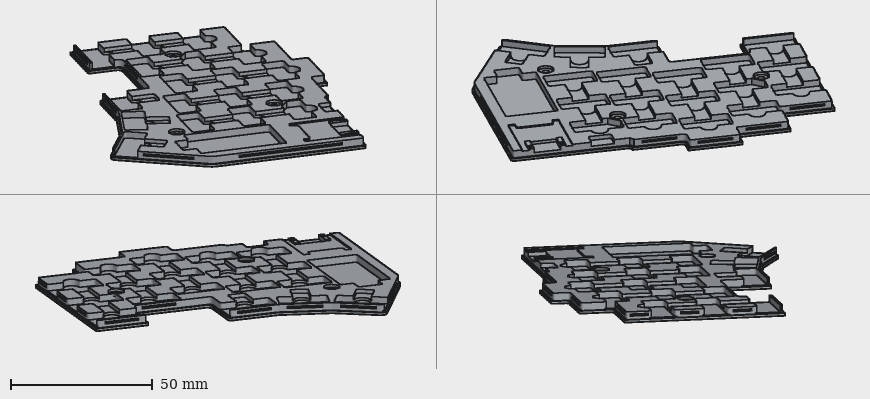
import cadquery as cq
import math

PITCH = 19.0
RIM = 0.7
TOTAL_HEIGHT = 3.7
FLANGE_HEIGHT = 1.0
WIDTH = 120.3
CELL = PITCH + RIM

ROWS = 3
COLUMN_BASE = (0.0, 12.2, 18.2, 12.9, 11.4)
COLUMN_TOP = [base + ROWS * PITCH + RIM for base in COLUMN_BASE]
RIGHT_TOP = 69.0
STEP_RUN = 0.8

POCKET_WIDTH = 17.9
POCKET_HEIGHT = 8.3
POCKET_DEPTH = 2.4
POCKET_RADIUS = 1.0
POCKET_TO_EDGE = 1.6
HUMP_RADIUS = 3.0
HUMP_FILLET = 0.7
BREAKOUT = 0.4
WALL_END_RADIUS = 0.7
SCREW_SIDE_SOCKETS = ((1, 1), (4, 2))
CENTER_TO_EDGE = POCKET_TO_EDGE + POCKET_HEIGHT / 2

CHANNEL_DEPTH = 1.5
CHANNEL_WIDTH = 6.0
THUMB_CHANNEL_WIDTH = 6.5
THUMB_CHANNEL_LENGTH = 8.3

THUMBS = (
    (58.0, COLUMN_BASE[0], 0.0),
    (77.5, -2.6, 15.0),
    (96.1, -10.3, 30.0),
)
TIP_THUMB = THUMBS[-1]

SCREWS = ((20.1, 31.4), (76.9, 49.6), (92.5, 7.9))
SCREW_DIAMETER = 2.4
HEAD_DIAMETER = 5.7
HEAD_DEPTH = 1.0
SCREW_RELIEF_X = 4.0
SCREW_RELIEF_Y = 3.1

BATTERY_LEFT, BATTERY_RIGHT = 96.4, 115.4
BATTERY_BOTTOM, BATTERY_TOP = 9.1, 41.0
BATTERY_TAB_LEFT, BATTERY_TAB_RIGHT = 101.3, 110.4
BATTERY_TAB_BOTTOM = 4.2
BATTERY_RADIUS = 0.7
BATTERY_DEPTH = 2.8

TRAY_CENTER = 107.1
TRAY_WIDTH = 18.3
TRAY_BOTTOM = 47.8
TRAY_LEG_WIDTH = 2.4
TRAY_LEG_LENGTH = 2.6
TRAY_LEG_RADIUS = 0.5
TRAY_DEPTH = 0.5
CONNECTOR_BOTTOM = 61.8
CONNECTOR_DEPTH = 1.6
PAD_WIDTH = 1.9
PEG_HOLE_Y = 66.3
PEG_HOLE_DIAMETER = 0.8
PEG_SINK_DIAMETER = 1.5
PEG_SINK_ANGLE = 90

NOTCH_CENTER = 87.0
NOTCH_WIDTH = 8.3
NOTCH_BOTTOM = 63.8
NOTCH_DEPTH = 1.6

RIDGE_Z = 2.5
RIDGE_HALF_HEIGHT = 0.4
RIDGE_REACH = 0.4
RIDGE_LENGTH = 12.5
TOP_RIDGE_COLUMNS = (0, 1, 2, 3)
BOTTOM_RIDGE_COLUMNS = (0, 1)
WALL_RIDGE_LENGTH = 6.5
RIGHT_RIDGE_LENGTH = 38.4
RIGHT_RIDGE_Y = 41.0
SLANT_RIDGE_LENGTH = 18.0
SLANT_RIDGE_START = 12.0


def block(x_min, x_max, y_min, y_max, depth):
    """Cutter box reaching down from the top face."""
    box = cq.Workplane("XY").box(x_max - x_min, y_max - y_min, depth, centered=False)
    return box.translate((x_min, y_min, TOTAL_HEIGHT - depth))


def near(x, y):
    return cq.selectors.NearestToPointSelector((x, y, TOTAL_HEIGHT - POCKET_DEPTH / 2))


def round_corner(solid, x, y, radius):
    """Round the vertical edge closest to (x, y)."""
    return solid.edges("|Z").edges(near(x, y)).fillet(radius)


def turned(center, angle, along, across):
    """Point in a socket's own axes, turned clockwise by angle about its centre."""
    a = math.radians(angle)
    x = center[0] + along * math.cos(a) + across * math.sin(a)
    y = center[1] - along * math.sin(a) + across * math.cos(a)
    return (x, y)


def column_center(column):
    return column * PITCH + CELL / 2


def socket_center(column, row):
    return (column_center(column), COLUMN_BASE[column] + row * PITCH + CENTER_TO_EDGE)


def socket(center, angle=0.0, open_left=False, open_right=False, screw_side=False):
    """Pocket with a half-round hump on its upper side."""
    half_w = POCKET_WIDTH / 2
    half_h = POCKET_HEIGHT / 2
    left = -half_w - (BREAKOUT if open_left else 0)
    right = half_w + (BREAKOUT if open_right else 0)
    cutter = block(left, right, -half_h, half_h, POCKET_DEPTH)
    if not open_left:
        cutter = cutter.edges("|Z and <X").fillet(POCKET_RADIUS)
    if not open_right:
        cutter = cutter.edges("|Z and >X").fillet(POCKET_RADIUS)
    if screw_side:
        relief = (
            cq.Workplane("XY", origin=(left, -half_h, 0))
            .polyline([(0, 0), (SCREW_RELIEF_X, 0), (0, SCREW_RELIEF_Y)])
            .close()
            .extrude(TOTAL_HEIGHT)
        )
        cutter = cutter.cut(relief)
    hump = (
        cq.Workplane("XY", origin=(0, half_h, TOTAL_HEIGHT - POCKET_DEPTH))
        .circle(HUMP_RADIUS)
        .extrude(POCKET_DEPTH)
    )
    cutter = cutter.union(hump)
    for side in (-HUMP_RADIUS, HUMP_RADIUS):
        cutter = round_corner(cutter, side, half_h, HUMP_FILLET)
    return cutter.rotate((0, 0, 0), (0, 0, 1), -angle).translate((center[0], center[1], 0))


def ridge(center, angle, length):
    """Triangular snap ridge; at angle 0 it lies along X and points toward -Y."""
    profile = [(0, RIDGE_HALF_HEIGHT), (0, -RIDGE_HALF_HEIGHT), (-RIDGE_REACH, 0)]
    bar = cq.Workplane("YZ").polyline(profile).close().extrude(length / 2, both=True)
    return bar.rotate((0, 0, 0), (0, 0, 1), -angle).translate((center[0], center[1], RIDGE_Z))


def bottom_edge_crossing(first, second):
    """Where the outer edges below two neighbouring thumb sockets meet."""
    x1, y1 = turned(first[:2], first[2], 0, -CENTER_TO_EDGE)
    x2, y2 = turned(second[:2], second[2], 0, -CENTER_TO_EDGE)
    slope1 = -math.tan(math.radians(first[2]))
    slope2 = -math.tan(math.radians(second[2]))
    x = (y2 - y1 + slope1 * x1 - slope2 * x2) / (slope1 - slope2)
    return (x, y1 + slope1 * (x - x1))


thumb_left = THUMBS[0][0] - CELL / 2
thumb_bottom = THUMBS[0][1] - CENTER_TO_EDGE
tip = turned(TIP_THUMB[:2], TIP_THUMB[2], CELL / 2, -CENTER_TO_EDGE)
slant_rise = (WIDTH - tip[0]) / math.tan(math.radians(TIP_THUMB[2]))
slant_top = (WIDTH, tip[1] + slant_rise)

CORNERS = [
    ((0, 0), 0, 1.0),
    ((CELL, 0), 0, 0),
    ((CELL, COLUMN_BASE[1]), 1.9, 1.9),
    ((thumb_left, COLUMN_BASE[1]), 1.9, 1.3),
    ((thumb_left, thumb_bottom), 1.2, 1.0),
    (bottom_edge_crossing(THUMBS[0], THUMBS[1]), 0, 0),
    (bottom_edge_crossing(THUMBS[1], THUMBS[2]), 0, 0),
    (tip, 2.3, 1.6),
    (slant_top, 4.8, 4.1),
    ((WIDTH, RIGHT_TOP), 1.2, 0.7),
    ((4 * PITCH + RIM + STEP_RUN, RIGHT_TOP), 0, 0),
    ((4 * PITCH + RIM, RIGHT_TOP + STEP_RUN), 0, 0),
    ((4 * PITCH + RIM, COLUMN_TOP[3]), 0, 0),
    ((3 * PITCH + RIM, COLUMN_TOP[3]), 1.5, 1.5),
    ((3 * PITCH + RIM, COLUMN_TOP[2]), 0, 0.7),
    ((2 * PITCH, COLUMN_TOP[2]), 0.5, 0.7),
    ((2 * PITCH, COLUMN_TOP[1]), 1.2, 0.7),
    ((PITCH, COLUMN_TOP[1]), 0.5, 0.7),
    ((PITCH, COLUMN_TOP[0]), 1.2, 0),
    ((0, COLUMN_TOP[0]), 0.5, 0.7),
]
corner_points = [corner[0] for corner in CORNERS]

flange = cq.Workplane("XY").polyline(corner_points).close().extrude(FLANGE_HEIGHT)
body = (
    cq.Workplane("XY")
    .polyline(corner_points)
    .close()
    .offset2D(-RIM, "intersection")
    .extrude(TOTAL_HEIGHT)
)
for (x, y), ledge_radius, body_radius in CORNERS:
    if ledge_radius:
        flange = round_corner(flange, x, y, ledge_radius)
    if body_radius:
        body = round_corner(body, x, y, body_radius)

for column in range(len(COLUMN_BASE)):
    for row in range(ROWS):
        center = socket_center(column, row)
        at_right_wall = (column, row) == (0, 0)
        beside_screw = (column, row) in SCREW_SIDE_SOCKETS
        body = body.cut(socket(center, 0, column == 0, at_right_wall, beside_screw))
    x = column_center(column)
    channel_bottom = socket_center(column, 0)[1]
    channel_top = socket_center(column, ROWS - 1)[1]
    body = body.cut(
        block(x - CHANNEL_WIDTH / 2, x + CHANNEL_WIDTH / 2, channel_bottom, channel_top, CHANNEL_DEPTH)
    )

for x, y, angle in THUMBS:
    is_first = angle == 0
    is_last = (x, y, angle) == TIP_THUMB
    body = body.cut(socket((x, y), angle, is_first, is_last))
    half = THUMB_CHANNEL_WIDTH / 2
    channel_top = POCKET_HEIGHT / 2 + THUMB_CHANNEL_LENGTH
    channel = block(-half, half, 0, channel_top, CHANNEL_DEPTH)
    channel = channel.edges("|Z and >Y").fillet(POCKET_RADIUS)
    body = body.cut(channel.rotate((0, 0, 0), (0, 0, 1), -angle).translate((x, y, 0)))

for row in range(ROWS):
    y = socket_center(0, row)[1]
    body = round_corner(body, RIM, y + POCKET_HEIGHT / 2, WALL_END_RADIUS)
    if row > 0:
        body = round_corner(body, RIM, y - POCKET_HEIGHT / 2, WALL_END_RADIUS)

break_x = column_center(1) - POCKET_WIDTH / 2
break_bottom = COLUMN_TOP[0] - RIM
break_top = socket_center(1, ROWS - 1)[1] + POCKET_HEIGHT / 2
body = body.cut(block(break_x - BREAKOUT, break_x + POCKET_RADIUS, break_bottom, break_top, POCKET_DEPTH))
body = round_corner(body, PITCH + RIM, break_top, WALL_END_RADIUS)
body = round_corner(body, break_x, break_bottom, WALL_END_RADIUS)

thumb_break = THUMBS[0][1] + POCKET_HEIGHT / 2
body = round_corner(body, thumb_left + RIM, thumb_break, WALL_END_RADIUS)

battery = block(BATTERY_LEFT, BATTERY_RIGHT, BATTERY_BOTTOM, BATTERY_TOP, BATTERY_DEPTH)
battery_tab = block(
    BATTERY_TAB_LEFT, BATTERY_TAB_RIGHT, BATTERY_TAB_BOTTOM, BATTERY_TOP, BATTERY_DEPTH
)
body = body.cut(battery.union(battery_tab).edges("|Z").fillet(BATTERY_RADIUS))

tray_left = TRAY_CENTER - TRAY_WIDTH / 2
tray_right = TRAY_CENTER + TRAY_WIDTH / 2
connector_left = tray_left + TRAY_LEG_WIDTH
connector_right = tray_right - TRAY_LEG_WIDTH
tongue_top = TRAY_BOTTOM + TRAY_LEG_LENGTH
tray = block(tray_left, tray_right, TRAY_BOTTOM, RIGHT_TOP, TRAY_DEPTH)
tray = tray.cut(block(connector_left, connector_right, TRAY_BOTTOM, tongue_top, TRAY_DEPTH))
tray = tray.edges("|Z").edges("<Y").fillet(TRAY_LEG_RADIUS)
for x in (connector_left, connector_right):
    tray = round_corner(tray, x, tongue_top, POCKET_RADIUS)
    pad_inner = x + math.copysign(PAD_WIDTH, TRAY_CENTER - x)
    pad = block(min(x, pad_inner), max(x, pad_inner), CONNECTOR_BOTTOM, RIGHT_TOP, TRAY_DEPTH)
    tray = tray.cut(pad)
connector = block(
    connector_left + PAD_WIDTH, connector_right - PAD_WIDTH, CONNECTOR_BOTTOM, RIGHT_TOP, CONNECTOR_DEPTH
)
body = body.cut(tray).cut(connector)

notch = block(
    NOTCH_CENTER - NOTCH_WIDTH / 2, NOTCH_CENTER + NOTCH_WIDTH / 2, NOTCH_BOTTOM, RIGHT_TOP, NOTCH_DEPTH
)
body = body.cut(notch.edges("|Z and <Y").fillet(POCKET_RADIUS))

ridges = []
for column in TOP_RIDGE_COLUMNS:
    x = column_center(column)
    ridges.append(ridge((x, COLUMN_TOP[column] - RIM), 180, RIDGE_LENGTH))
for column in BOTTOM_RIDGE_COLUMNS:
    ridges.append(ridge((column_center(column), COLUMN_BASE[column] + RIM), 0, RIDGE_LENGTH))
for x, y, angle in THUMBS:
    ridges.append(ridge(turned((x, y), angle, 0, RIM - CENTER_TO_EDGE), angle, RIDGE_LENGTH))
wall_tops = [socket_center(0, row)[1] - POCKET_HEIGHT / 2 for row in range(1, ROWS)]
wall_tops.append(COLUMN_TOP[0] - RIM)
for row, wall_top in enumerate(wall_tops):
    wall_bottom = socket_center(0, row)[1] + POCKET_HEIGHT / 2
    ridges.append(ridge((RIM, (wall_bottom + wall_top) / 2), 90, WALL_RIDGE_LENGTH))
ridges.append(ridge((WIDTH - RIM, RIGHT_RIDGE_Y), -90, RIGHT_RIDGE_LENGTH))
slant_ridge = turned(
    TIP_THUMB[:2], TIP_THUMB[2], CELL / 2 - RIM, SLANT_RIDGE_START + SLANT_RIDGE_LENGTH / 2 - CENTER_TO_EDGE
)
ridges.append(ridge(slant_ridge, TIP_THUMB[2] - 90, SLANT_RIDGE_LENGTH))

result = flange.union(body)
for bar in ridges:
    result = result.union(bar)

peg_holes = [(x, PEG_HOLE_Y) for x in (connector_left + PAD_WIDTH / 2, connector_right - PAD_WIDTH / 2)]
result = (
    result.copyWorkplane(cq.Workplane("XY", origin=(0, 0, TOTAL_HEIGHT)))
    .pushPoints(SCREWS)
    .cboreHole(SCREW_DIAMETER, HEAD_DIAMETER, HEAD_DEPTH)
    .pushPoints(peg_holes)
    .cskHole(PEG_HOLE_DIAMETER, PEG_SINK_DIAMETER, PEG_SINK_ANGLE)
)